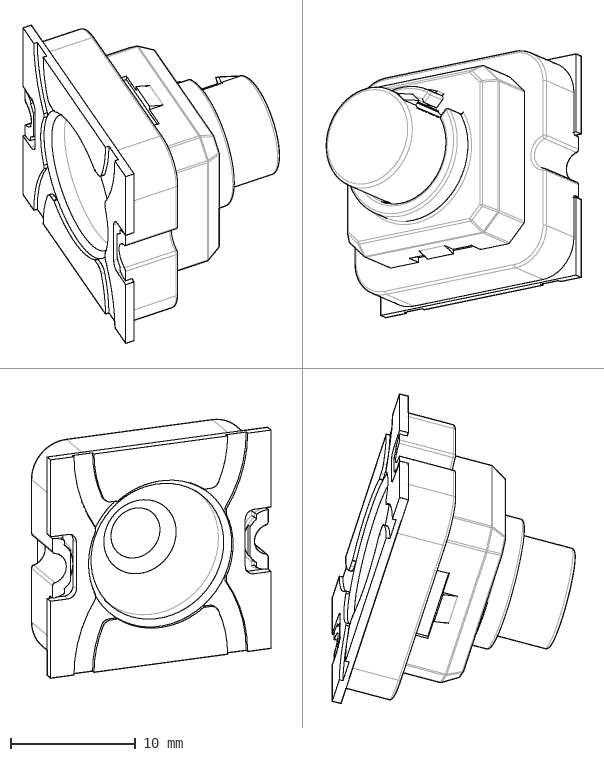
import cadquery as cq
import math


PLATE_WIDTH = 19.05
PLATE_HEIGHT = 18.6
PLATE_THICKNESS = 0.75
GROOVE_DEPTH = 0.3
GROOVE_OUTER_RADIUS = 11.41
GROOVE_INNER_RADIUS = 9.68
GROOVE_EDGE_X = 7.5
GROOVE_END_X = 5.65
GROOVE_END_Z = 2.65
GROOVE_LEDGE_Z = 5.03
GROOVE_MOUTH_X = 3.81
GROOVE_CORNER_RADIUS = 0.72
NOTCH_DEPTH = 2.23
NOTCH_HEIGHT = 5.49
NOTCH_CORNER_RADIUS = 0.76

OPENING_RADIUS = 6.25
BOWL_RADIUS = 5.73
BOWL_FLOOR_DEPTH = 4.48
CONE_RADIUS = 3.12
CONE_END_RADIUS = 2.11
CAVITY_DEPTH = 5.45
BOWL_CURVE_RADIUS = BOWL_RADIUS - CONE_RADIUS

BLOCK_WIDTH = 18.63
BLOCK_HEIGHT = 18.17
BLOCK_BACK = 4.8
BLOCK_CORNER_RADIUS = 3.01
BLOCK_EDGE_RADIUS = 0.21
SIDE_CHANNEL_RADIUS = 1.28
CHANNEL_CENTER_OFFSET = 0.1
CHANNEL_MOUTH_RADIUS = 0.25

TAB_FRONT = 0.08
TAB_HALF_HEIGHT = 2.53
TAB_SHOULDER_X = 8.3
TAB_SHOULDER_HIGH_Z = 2.25
TAB_END_ARC_RADIUS = 1.83
TAB_NOSE_X = 7.75
NOSE_RADIUS = 2.32
NOSE_TIP_X = 7.37
LEDGE_FRONT = 0.51
TAB_ROOT_RADIUS = 0.2
SELECTION_MARGIN = 0.02

HOUSING_WIDTH = 14.6
HOUSING_HEIGHT = 14.05
HOUSING_CORNER = 1.5
HOUSING_BACK = 9.8
BEVEL_LENGTH = 1.4
BEVEL_INSET = 0.76
HOUSING_EDGE_RADIUS = 0.23

LUG_WIDTH = 2.51
LUG_HEIGHT = 0.38
LUG_FRONT = 6.08
LUG_BACK = 7.3
RELIEF_WIDTH = 6.05

BARREL_RADIUS = 4.17
BARREL_END = 16.35
BARREL_EDGE_RADIUS = 0.27
COLLAR_RADIUS = 5.4
COLLAR_BORE_RADIUS = 4.32
COLLAR_END = 11.72
COLLAR_EDGE_RADIUS = 0.21
COLLAR_SLOT_WIDTH = 2.17
SLOT_CORNER_RADIUS = 0.25

LATCH_TILT = -45.0
FLAT_DISTANCE = 4.02
FLAT_WIDTH = 1.49
LATCH_WIDTH = 0.91
LATCH_FRONT = 14.29
LATCH_BACK = 15.98
LATCH_TOP = 4.63
LATCH_ROOT = 3.81


def plane_at(y):
    """Sketch plane across the axis at depth y (local x = X, local y = Z)."""
    return cq.Workplane("XZ", origin=(0, y, 0))


def block_between(width, height, y_front, y_back):
    """Centred rectangular block spanning two depths."""
    return plane_at(y_front).rect(width, height).extrude(y_front - y_back)


def cylinder_between(radius, y_front, y_back):
    """Cylinder on the axis spanning two depths."""
    return plane_at(y_front).circle(radius).extrude(y_front - y_back)


def turn(body, angle):
    """Rotate a body about the axis."""
    return body.rotate((0, 0, 0), (0, 1, 0), angle)


def make_cavity():
    """Flared opening, rounded bowl and conical end."""
    bowl_start = BOWL_FLOOR_DEPTH - BOWL_CURVE_RADIUS
    diagonal = BOWL_CURVE_RADIUS * math.sqrt(0.5)
    return (
        cq.Workplane("XY")
        .moveTo(0, 0)
        .lineTo(OPENING_RADIUS, 0)
        .lineTo(OPENING_RADIUS, GROOVE_DEPTH)
        .lineTo(BOWL_RADIUS, PLATE_THICKNESS)
        .lineTo(BOWL_RADIUS, bowl_start)
        .threePointArc((CONE_RADIUS + diagonal, bowl_start + diagonal), (CONE_RADIUS, BOWL_FLOOR_DEPTH))
        .lineTo(CONE_END_RADIUS, CAVITY_DEPTH)
        .lineTo(0, CAVITY_DEPTH)
        .close()
        .revolve(360, (0, 0, 0), (0, 1, 0))
    )


def make_groove():
    """Curved groove from the top edge of the plate into the opening, on the -X side."""
    top = PLATE_HEIGHT / 2
    center_x = GROOVE_OUTER_RADIUS - GROOVE_EDGE_X

    def wall_x(radius, z):
        return center_x - math.sqrt(radius ** 2 - (top - z) ** 2)

    outer_bottom_z = top - math.sqrt(GROOVE_OUTER_RADIUS ** 2 - (center_x + GROOVE_END_X) ** 2)
    outer_mid_z = (top + outer_bottom_z) / 2
    inner_mid_z = (top + GROOVE_LEDGE_Z) / 2
    corner_x = wall_x(GROOVE_INNER_RADIUS, GROOVE_LEDGE_Z)
    groove = (
        plane_at(0)
        .moveTo(-GROOVE_EDGE_X, top)
        .threePointArc(
            (wall_x(GROOVE_OUTER_RADIUS, outer_mid_z), outer_mid_z), (-GROOVE_END_X, outer_bottom_z)
        )
        .lineTo(-GROOVE_END_X, GROOVE_END_Z)
        .lineTo(-GROOVE_MOUTH_X, GROOVE_END_Z)
        .lineTo(-GROOVE_MOUTH_X, GROOVE_LEDGE_Z)
        .lineTo(corner_x, GROOVE_LEDGE_Z)
        .threePointArc(
            (wall_x(GROOVE_INNER_RADIUS, inner_mid_z), inner_mid_z), (center_x - GROOVE_INNER_RADIUS, top)
        )
        .close()
        .extrude(-GROOVE_DEPTH)
    )
    corner = cq.NearestToPointSelector((corner_x, GROOVE_DEPTH / 2, GROOVE_LEDGE_Z))
    return groove.edges("|Y").edges(corner).fillet(GROOVE_CORNER_RADIUS)


def make_plate(cavity):
    """Face plate with the flared opening, four curved grooves and two side notches."""
    plate = block_between(PLATE_WIDTH, PLATE_HEIGHT, 0, PLATE_THICKNESS).cut(cavity)
    left_groove = make_groove()
    for groove in (left_groove, left_groove.mirror("YZ")):
        plate = plate.cut(groove).cut(groove.mirror("XY"))
    for side in (-1, 1):
        notch = (
            block_between(2 * NOTCH_DEPTH, NOTCH_HEIGHT, 0, PLATE_THICKNESS)
            .edges("|Y")
            .fillet(NOTCH_CORNER_RADIUS)
            .translate((side * PLATE_WIDTH / 2, 0, 0))
        )
        plate = plate.cut(notch)
    return plate


def make_tab():
    """Tab on the -X side: a squared shoulder, a rounded nose and a low ledge around the nose."""
    outer_x = BLOCK_WIDTH / 2
    nose_center_x = NOSE_TIP_X + NOSE_RADIUS

    def nose_z(x):
        return math.sqrt(NOSE_RADIUS ** 2 - (nose_center_x - x) ** 2)

    end_low = (-TAB_SHOULDER_X, -TAB_SHOULDER_HIGH_Z)
    end_high = (-TAB_SHOULDER_X, TAB_SHOULDER_HIGH_Z)
    shoulder = (
        plane_at(TAB_FRONT)
        .moveTo(-outer_x, -TAB_HALF_HEIGHT)
        .radiusArc(end_low, -TAB_END_ARC_RADIUS)
        .lineTo(*end_high)
        .radiusArc((-outer_x, TAB_HALF_HEIGHT), -TAB_END_ARC_RADIUS)
        .close()
        .extrude(TAB_FRONT - PLATE_THICKNESS)
    )

    def nose(y_front, front_x):
        disc = (
            plane_at(y_front).center(-nose_center_x, 0).circle(NOSE_RADIUS)
            .extrude(y_front - PLATE_THICKNESS)
        )
        width = TAB_SHOULDER_X - front_x
        keep = block_between(width, 2 * nose_z(TAB_SHOULDER_X), y_front, PLATE_THICKNESS)
        return disc.intersect(keep.translate((-front_x - width / 2, 0, 0)))

    return shoulder.union(nose(TAB_FRONT, TAB_NOSE_X)).union(nose(LEDGE_FRONT, NOSE_TIP_X))


def round_tab_roots(block):
    """Concave fillets where the tabs rise from the front of the block."""
    reach_x = BLOCK_WIDTH / 2 - SELECTION_MARGIN
    reach_z = TAB_HALF_HEIGHT + SELECTION_MARGIN
    near_tabs = cq.selectors.BoxSelector((-reach_x, 0, -reach_z), (reach_x, BLOCK_BACK, reach_z))
    front_face = cq.NearestToPointSelector((0, PLATE_THICKNESS, 0))
    return block.faces(front_face).edges(near_tabs).fillet(TAB_ROOT_RADIUS)


def make_block(cavity, plate):
    """Rounded block with tabs, side channels, bowl and the socket for the housing's spigot."""
    block = block_between(BLOCK_WIDTH, BLOCK_HEIGHT, PLATE_THICKNESS, BLOCK_BACK)
    block = block.edges("|Y").fillet(BLOCK_CORNER_RADIUS)
    left_tab = make_tab()
    block = block.union(left_tab).union(left_tab.mirror("YZ"))
    block = round_tab_roots(block).cut(plate)
    for side in (-1, 1):
        face_x = side * BLOCK_WIDTH / 2
        channel_x = face_x + side * CHANNEL_CENTER_OFFSET
        channel = cylinder_between(SIDE_CHANNEL_RADIUS, 0, BLOCK_BACK).translate((channel_x, 0, 0))
        block = block.cut(channel)
        for end in (-1, 1):
            rim = cq.NearestToPointSelector((face_x, BLOCK_BACK / 2, end * SIDE_CHANNEL_RADIUS))
            block = block.edges("|Y").edges(rim).fillet(CHANNEL_MOUTH_RADIUS)
    block = block.faces(">Y").edges().fillet(BLOCK_EDGE_RADIUS)
    socket = cylinder_between(CONE_RADIUS, BOWL_FLOOR_DEPTH, BLOCK_BACK)
    return block.cut(cavity).cut(socket)


def octagon_points(inset):
    """Corner points of the housing outline, moved inward by an even distance."""
    half_x = HOUSING_WIDTH / 2 - inset
    half_z = HOUSING_HEIGHT / 2 - inset
    corner = HOUSING_CORNER - inset * (2 - math.sqrt(2))
    right = [
        (half_x - corner, -half_z), (half_x, corner - half_z),
        (half_x, half_z - corner), (half_x - corner, half_z),
    ]
    return right + [(-x, -z) for x, z in right]


def make_housing_shell():
    """Octagonal prism with a bevelled back and softened edges."""
    bevel_start = HOUSING_BACK - BEVEL_LENGTH
    prism = plane_at(BLOCK_BACK).polyline(octagon_points(0)).close().extrude(BLOCK_BACK - bevel_start)
    bevel = (
        plane_at(bevel_start)
        .polyline(octagon_points(0)).close()
        .workplane(offset=-BEVEL_LENGTH)
        .polyline(octagon_points(BEVEL_INSET)).close()
        .loft(ruled=True)
    )
    shell = prism.union(bevel)
    return shell.edges("not(<Y)").fillet(HOUSING_EDGE_RADIUS)


def make_wedge(width, y_front, y_back, z_root, z_low, z_high):
    """Ramp rising along Z from its back end to its front end."""
    return (
        cq.Workplane("YZ", origin=(-width / 2, 0, 0))
        .polyline([(y_front, z_root), (y_back, z_root), (y_back, z_low), (y_front, z_high)])
        .close()
        .extrude(width)
    )


def make_collar():
    """Slotted ring around the barrel with a concave flare at its foot."""
    foot_end = HOUSING_BACK + COLLAR_EDGE_RADIUS
    foot_radius = COLLAR_RADIUS + COLLAR_EDGE_RADIUS
    slot = (
        block_between(COLLAR_SLOT_WIDTH, foot_radius, HOUSING_BACK, COLLAR_END)
        .translate((0, 0, foot_radius / 2))
    )
    collar = (
        cylinder_between(COLLAR_RADIUS, HOUSING_BACK, COLLAR_END)
        .cut(cylinder_between(COLLAR_BORE_RADIUS, HOUSING_BACK, COLLAR_END))
        .cut(slot)
    )
    for side in (-1, 1):
        corner = cq.NearestToPointSelector((side * COLLAR_SLOT_WIDTH / 2, COLLAR_END, COLLAR_RADIUS))
        collar = collar.edges("|Y").edges(corner).fillet(SLOT_CORNER_RADIUS)
    collar = collar.faces(">Y").edges().fillet(COLLAR_EDGE_RADIUS)
    flare = (
        cq.Workplane("XY")
        .moveTo(COLLAR_BORE_RADIUS, HOUSING_BACK)
        .lineTo(foot_radius, HOUSING_BACK)
        .radiusArc((COLLAR_RADIUS, foot_end), COLLAR_EDGE_RADIUS)
        .lineTo(COLLAR_BORE_RADIUS, foot_end)
        .close()
        .revolve(360, (0, 0, 0), (0, 1, 0))
    )
    corner_room = COLLAR_SLOT_WIDTH + 2 * SLOT_CORNER_RADIUS
    flare_gap = (
        block_between(corner_room, foot_radius, HOUSING_BACK, foot_end)
        .translate((0, 0, foot_radius / 2))
    )
    return turn(collar.union(flare.cut(flare_gap)), LATCH_TILT)


def make_barrel():
    """Round barrel with a latch ramp and a flat in front of it."""
    barrel = cylinder_between(BARREL_RADIUS, HOUSING_BACK, BARREL_END)
    barrel = barrel.faces(">Y").edges().fillet(BARREL_EDGE_RADIUS)
    flat_height = BARREL_RADIUS - FLAT_DISTANCE
    flat = (
        block_between(FLAT_WIDTH, flat_height, HOUSING_BACK, LATCH_FRONT)
        .translate((0, 0, FLAT_DISTANCE + flat_height / 2))
    )
    latch = make_wedge(LATCH_WIDTH, LATCH_FRONT, LATCH_BACK, LATCH_ROOT, BARREL_RADIUS, LATCH_TOP)
    return turn(barrel.cut(flat).union(latch), LATCH_TILT)


def make_housing(cavity):
    """Octagonal housing with snap lugs, front spigot, collar and barrel."""
    housing = make_housing_shell()
    half_height = HOUSING_HEIGHT / 2
    lug = make_wedge(
        LUG_WIDTH, LUG_FRONT, LUG_BACK, half_height - LUG_HEIGHT, half_height, half_height + LUG_HEIGHT
    )
    relief = (
        block_between(RELIEF_WIDTH, 2 * LUG_HEIGHT, BLOCK_BACK, LUG_FRONT)
        .translate((0, 0, half_height))
    )
    for angle in (0, 180):
        housing = housing.union(turn(lug, angle)).cut(turn(relief, angle))
    spigot = cylinder_between(CONE_RADIUS, BOWL_FLOOR_DEPTH, BLOCK_BACK)
    return housing.union(spigot).union(make_collar()).union(make_barrel()).cut(cavity)


cavity = make_cavity()
plate = make_plate(cavity)
block = make_block(cavity, plate)
housing = make_housing(cavity)

bodies = [body.solids().val() for body in (plate, block, housing)]
result = cq.Compound.makeCompound(bodies)